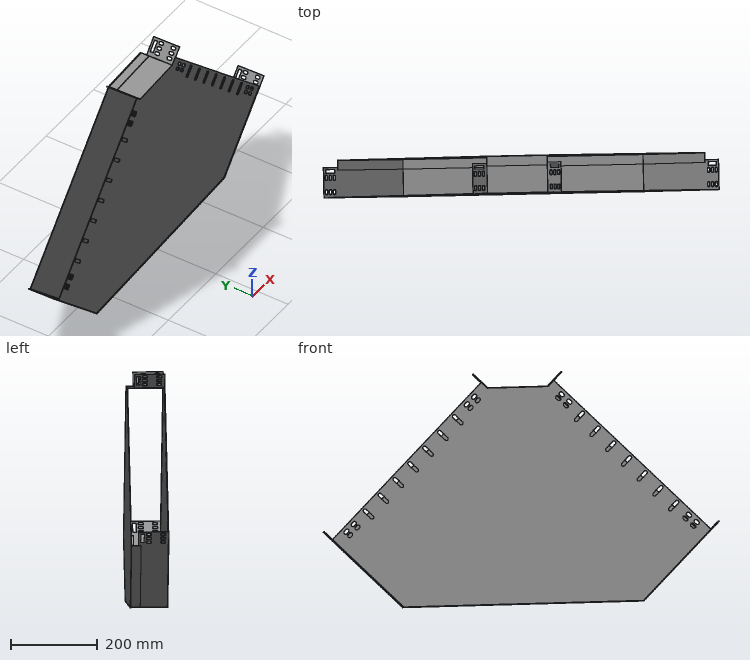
import cadquery as cq
import math


sheet = 1.5
width = 503.0
leg_length = 117.5
inner_cut = 98.3
outer_cut = 393.2
wall_height = 64.0
total_depth = 87.3
lid_setback = 19.5

tab_reach = 26.35
tab_height = 70.5
first_hole = 8.5
hole_pitch = 12.7
hole_width = 7.2
hole_height = 12.0
hole_rows = (13.5, 46.5)
tab_slot_length = 28.0
tab_slot_height = 8.0
tab_slot_row = 61.25

floor_slot_count = 7
floor_slot_pitch = 50.0
floor_slot_length = 30.4
floor_slot_width = 8.0
floor_slot_margin = 5.0

small_slot_length = 13.0
small_slot_width = 8.0
small_slot_pitch = 24.4
small_slot_rows = (11.0, 23.0)
small_group_offset = 202.5

turn_about_y = -46.58
tilt_about_x = -0.33
tilt_about_z = 1.2


def bend_prism(inset, leg_end, start, end):
    """Bend outline with its walls moved inwards by `inset`, filled from depth start to end."""
    near_wall = -inset
    far_wall = inset - width
    slope_shift = inset * (math.sqrt(2) - 1)
    inner_corner = inner_cut - slope_shift
    outer_corner = outer_cut - width + slope_shift
    points = [
        (leg_end, near_wall),
        (leg_end, far_wall),
        (outer_corner, far_wall),
        (far_wall, outer_corner),
        (far_wall, leg_end),
        (near_wall, leg_end),
        (near_wall, inner_corner),
        (inner_corner, near_wall),
    ]
    plane = cq.Workplane("XZ", origin=(0, start, 0))
    return plane.polyline(points).close().extrude(start - end)


def both_legs(features):
    """The features of the X leg and their mirror images on the Z leg."""
    mirrored = features.rotate((0, 0, 0), (1, 0, 1), 180).mirror("XZ")
    return features.vals() + mirrored.vals()


def tab_plate(wall_z):
    """End tab of the X-leg wall whose lower face is at wall_z."""
    length = lid_setback + tab_reach
    plate = cq.Workplane("XY").box(length, tab_height, sheet, centered=False)
    return plate.translate((leg_length - lid_setback, 0, wall_z))


def tab_openings(wall_z):
    """Cutters for the six holes and the rectangular slot of the same tab."""
    middle = leg_length + tab_reach - first_hole - hole_pitch
    holes = [(middle + i * hole_pitch, row) for i in (-1, 0, 1) for row in hole_rows]
    face = cq.Workplane("XY", origin=(0, 0, wall_z))
    round_ended = face.pushPoints(holes).slot2D(hole_height, hole_width, 90).extrude(sheet)
    slot = face.center(middle, tab_slot_row).rect(tab_slot_length, tab_slot_height).extrude(sheet)
    return round_ended.add(slot)


def floor_openings():
    """Cutters for the floor slots along the open end of the X leg."""
    leg_middle = -width / 2
    long_x = leg_length - floor_slot_margin - floor_slot_length / 2
    first_z = leg_middle - floor_slot_pitch * (floor_slot_count - 1) / 2
    long_places = [(long_x, first_z + i * floor_slot_pitch) for i in range(floor_slot_count)]
    small_places = [
        (leg_length - row, leg_middle + group * small_group_offset + side * small_slot_pitch / 2)
        for row in small_slot_rows
        for group in (-1, 1)
        for side in (-1, 1)
    ]
    floor = cq.Workplane("XZ")
    long_slots = floor.pushPoints(long_places).slot2D(floor_slot_length, floor_slot_width).extrude(-sheet)
    small_slots = floor.pushPoints(small_places).slot2D(small_slot_length, small_slot_width, 90).extrude(-sheet)
    return long_slots.add(small_slots)


def make_tray():
    """Floor and walls, open at both leg ends, with a tab at each wall end."""
    hollow = bend_prism(sheet, leg_length + tab_reach, sheet, total_depth)
    body = bend_prism(0, leg_length, 0, wall_height).cut(hollow)
    cutters = both_legs(floor_openings())
    for wall_z in (-sheet, -width):
        for plate in both_legs(tab_plate(wall_z)):
            body = body.union(cq.Workplane(plate))
        cutters += both_legs(tab_openings(wall_z))
    for cutter in cutters:
        body = body.cut(cq.Workplane(cutter))
    return body


def make_lid():
    """Cover plate with rims that stand on the tray walls, shorter than the tray at both ends."""
    hollow = bend_prism(sheet, leg_length, wall_height, total_depth - sheet)
    return bend_prism(0, leg_length - lid_setback, wall_height, total_depth).cut(hollow)


def turned(body):
    """The body in the final attitude of the bend."""
    body = body.rotate((0, 0, 0), (0, 1, 0), turn_about_y)
    body = body.rotate((0, 0, 0), (1, 0, 0), tilt_about_x)
    return body.rotate((0, 0, 0), (0, 0, 1), tilt_about_z)


tray = turned(make_tray())
lid = turned(make_lid())
result = cq.Compound.makeCompound([tray.val(), lid.val()])